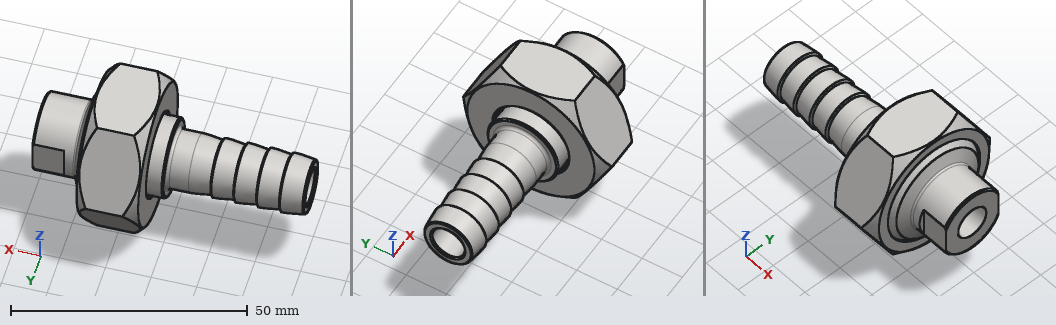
import cadquery as cq
import math

TOTAL_LENGTH = 59.0
BORE_R = 8.0 / 2

BARB_COUNT = 5
BARB_PITCH = 5.0
BARB_CREST_R = 13.0 / 2
BARB_ROOT_R = 5.95
BARB_BULGE = 0.09
BARB_STEP = 0.35
TIP_FACE_R = 11.45 / 2
TIP_CHAMFER = 0.25
BORE_CHAMFER = 0.35
COLLAR_START_X = 30.0
COLLAR_R = 17.5 / 2
COLLAR_CHAMFER = 0.35
COLLAR_FILLET = 0.7
FLANGE_R = 23.5 / 2
FLANGE_THICKNESS = 2.95

NUT_START_X = 33.5
NUT_LENGTH = 13.5
NUT_ACROSS_FLATS = 32.0
NUT_FACE_R = 15.75
NUT_LIP = 2.35
NUT_LIP_R = 18.5 / 2
NUT_LIP_CHAMFER = 0.3
THREAD_R = 26.4 / 2

THREAD_END_X = 46.4
CONE_START_X = 48.1
CONE_START_R = 23.5 / 2
CONE_ANGLE = math.radians(67)
CONE_FILLET = 0.55
SPIGOT_R = 17.0 / 2
SPIGOT_CHAMFER = 0.35
WRENCH_ACROSS_FLATS = 15.0
WRENCH_START_X = 51.8
WRENCH_RUNOUT = 0.25

FLANGE_START_X = NUT_START_X + NUT_LIP
JOINT_X = FLANGE_START_X + FLANGE_THICKNESS
NUT_END_X = NUT_START_X + NUT_LENGTH
NUT_CORNER_R = NUT_ACROSS_FLATS / math.sqrt(3)
NUT_CHAMFER = NUT_CORNER_R - NUT_FACE_R


def revolve_about_x(profile):
    """Revolve a closed (x, radius) profile drawn on the XY plane."""
    return profile.close().revolve(360, (0, 0, 0), (1, 0, 0))


def add_barb(profile, start_x, end_x):
    """Add one gently bulging barb from its root up to its crest."""
    middle = ((start_x + end_x) / 2, (BARB_ROOT_R + BARB_CREST_R) / 2 + BARB_BULGE)
    return profile.threePointArc(middle, (end_x, BARB_CREST_R))


def make_hose_tail():
    """Barbed tube with a collar and a flange held inside the nut."""
    profile = (
        cq.Workplane("XY")
        .moveTo(BORE_CHAMFER, BORE_R)
        .lineTo(0, BORE_R + BORE_CHAMFER)
        .lineTo(0, TIP_FACE_R)
        .lineTo(TIP_CHAMFER, BARB_ROOT_R)
    )
    profile = add_barb(profile, TIP_CHAMFER, BARB_PITCH)
    for barb in range(1, BARB_COUNT):
        root_x = barb * BARB_PITCH + BARB_STEP
        profile = profile.lineTo(root_x, BARB_ROOT_R)
        profile = add_barb(profile, root_x, (barb + 1) * BARB_PITCH)

    fillet_start_x = COLLAR_START_X - COLLAR_FILLET
    profile = (
        profile.lineTo(fillet_start_x, BARB_CREST_R)
        .radiusArc((COLLAR_START_X, BARB_CREST_R + COLLAR_FILLET), -COLLAR_FILLET)
        .lineTo(COLLAR_START_X, COLLAR_R - COLLAR_CHAMFER)
        .lineTo(COLLAR_START_X + COLLAR_CHAMFER, COLLAR_R)
        .lineTo(FLANGE_START_X, COLLAR_R)
        .lineTo(FLANGE_START_X, FLANGE_R)
        .lineTo(JOINT_X, FLANGE_R)
        .lineTo(JOINT_X, BORE_R)
    )
    return revolve_about_x(profile)


def make_nut():
    """Hexagonal union nut, corners along Y, chamfered at both ends."""
    hexagon = (
        cq.Workplane("YZ", origin=(NUT_START_X, 0, 0))
        .polygon(6, 2 * NUT_CORNER_R)
        .extrude(NUT_LENGTH)
    )
    envelope = revolve_about_x(
        cq.Workplane("XY")
        .moveTo(NUT_START_X, 0)
        .lineTo(NUT_START_X, NUT_FACE_R)
        .lineTo(NUT_START_X + NUT_CHAMFER, NUT_CORNER_R)
        .lineTo(NUT_END_X - NUT_CHAMFER, NUT_CORNER_R)
        .lineTo(NUT_END_X, NUT_FACE_R)
        .lineTo(NUT_END_X, 0)
    )
    cavity = revolve_about_x(
        cq.Workplane("XY")
        .moveTo(NUT_START_X, 0)
        .lineTo(NUT_START_X, NUT_LIP_R + NUT_LIP_CHAMFER)
        .lineTo(NUT_START_X + NUT_LIP_CHAMFER, NUT_LIP_R)
        .lineTo(FLANGE_START_X, NUT_LIP_R)
        .lineTo(FLANGE_START_X, THREAD_R)
        .lineTo(NUT_END_X, THREAD_R)
        .lineTo(NUT_END_X, 0)
    )
    return hexagon.intersect(envelope).cut(cavity)


def make_wrench_cut(side):
    """Material removed for the flat on the +Y (side=1) or -Y (side=-1) face."""
    flat_y = WRENCH_ACROSS_FLATS / 2
    return (
        cq.Workplane("XY")
        .moveTo(WRENCH_START_X, side * SPIGOT_R)
        .lineTo(WRENCH_START_X + WRENCH_RUNOUT, side * flat_y)
        .lineTo(TOTAL_LENGTH, side * flat_y)
        .lineTo(TOTAL_LENGTH, side * SPIGOT_R)
        .close()
        .extrude(SPIGOT_R, both=True)
    )


def make_connector():
    """Connector screwed into the nut, with a spigot that has two wrench flats."""
    fillet_start_r = SPIGOT_R + CONE_FILLET * (1 - math.cos(CONE_ANGLE))
    fillet_start_x = CONE_START_X + (CONE_START_R - fillet_start_r) / math.tan(CONE_ANGLE)
    fillet_end_x = fillet_start_x + CONE_FILLET * math.sin(CONE_ANGLE)
    connector = revolve_about_x(
        cq.Workplane("XY")
        .moveTo(JOINT_X, BORE_R)
        .lineTo(JOINT_X, THREAD_R)
        .lineTo(THREAD_END_X, THREAD_R)
        .lineTo(CONE_START_X, CONE_START_R)
        .lineTo(fillet_start_x, fillet_start_r)
        .radiusArc((fillet_end_x, SPIGOT_R), -CONE_FILLET)
        .lineTo(TOTAL_LENGTH - SPIGOT_CHAMFER, SPIGOT_R)
        .lineTo(TOTAL_LENGTH, SPIGOT_R - SPIGOT_CHAMFER)
        .lineTo(TOTAL_LENGTH, BORE_R)
    )
    for side in (1, -1):
        connector = connector.cut(make_wrench_cut(side))
    return connector


hose_tail = make_hose_tail()
nut = make_nut()
connector = make_connector()

result = cq.Compound.makeCompound([hose_tail.val(), nut.val(), connector.val()])